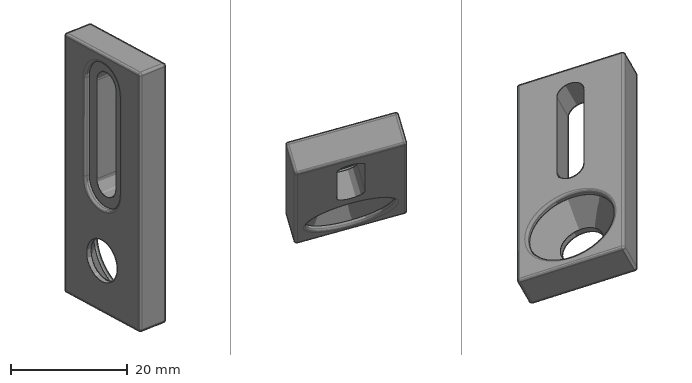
import cadquery as cq
import math

width = 20
thickness = 6
height = 50
edge_radius = 0.5

slot_width = 5
slot_center_z = 34
slot_center_distance = 19
recess_width = 9
recess_depth = 1
rim_radius = 0.5

hole_center_z = 10
hole_diameter = 8
countersink_diameter = 16
hole_land = 1
back_radius = 0.5
countersink_height = (countersink_diameter - hole_diameter) / 2


def slot_cutter(slot_size, depth):
    """Upright slot of the given width, cut in from the front face."""
    length = slot_center_distance + slot_size
    front = cq.Plane(origin=(0, 0, slot_center_z), xDir=(1, 0, 0), normal=(0, 1, 0))
    return cq.Workplane(front).slot2D(length, slot_size, 90).extrude(depth)


def hole_cutter():
    """Hole that opens through a 45 degree cone into a wide bore, rounded at the back."""
    hole_radius = hole_diameter / 2
    countersink_radius = countersink_diameter / 2
    cone_end = hole_land + countersink_height
    arc_offset = back_radius * math.sqrt(0.5)
    profile = (
        cq.Workplane("XY")
        .polyline([
            (0, 0),
            (hole_radius, 0),
            (hole_radius, hole_land),
            (countersink_radius, cone_end),
            (countersink_radius, thickness - back_radius),
        ])
        .threePointArc(
            (countersink_radius + back_radius - arc_offset, thickness - back_radius + arc_offset),
            (countersink_radius + back_radius, thickness),
        )
        .lineTo(0, thickness)
        .close()
    )
    return profile.revolve(360, (0, 0), (0, 1)).translate((0, 0, hole_center_z))


plate = cq.Workplane("XY").box(width, thickness, height, centered=(True, False, False))
plate = plate.edges().fillet(edge_radius)

plate = plate.cut(slot_cutter(recess_width, recess_depth))
recess_rim = cq.selectors.BoxSelector(
    (-recess_width, -rim_radius / 2, slot_center_z - slot_center_distance),
    (recess_width, rim_radius / 2, slot_center_z + slot_center_distance),
)
plate = plate.faces("<Y").edges(recess_rim).fillet(rim_radius)

result = plate.cut(slot_cutter(slot_width, thickness)).cut(hole_cutter())